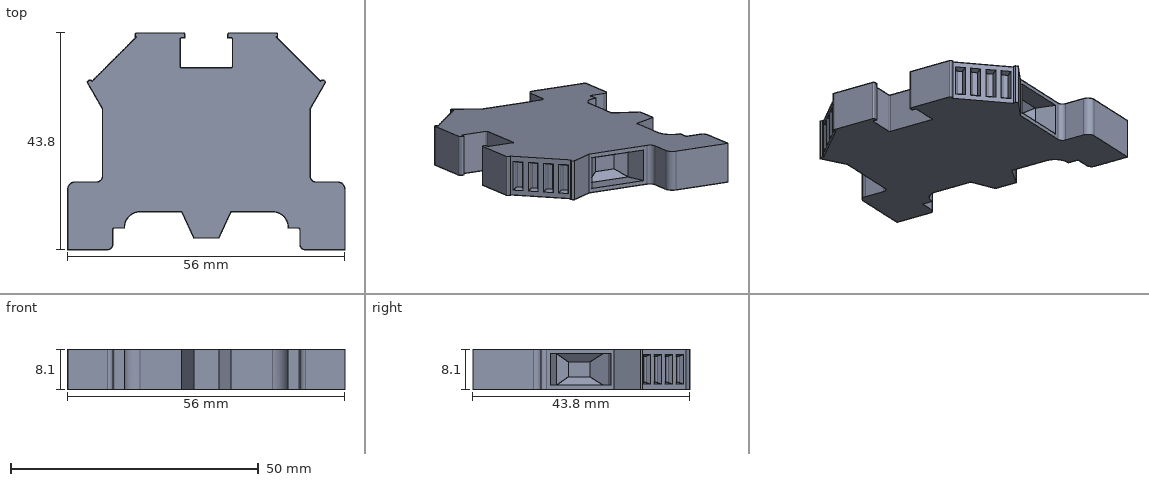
import cadquery as cq
import math

length = 56.0
height = 43.8
thickness = 8.1
half_length = length / 2

foot_inner_x = 18.9
foot_top_y = 13.7
foot_outer_radius = 1.5
foot_inner_radius = 1.1
ledge_y = 4.35

underside_y = 7.7
arch_x = 16.5
arch_radius = 3.15
key_bottom_y = 2.35
key_root_half = 5.0
key_tip_half = 2.5

body_half = 21.0
body_radius = 1.1
wing_base_y = 28.5
wing_angle = math.radians(30)
wing_tip_x = 24.1
wing_tip_y = wing_base_y + (wing_tip_x - body_half) / math.tan(wing_angle)
wing_lip_height = 0.45
wing_lip_outer_x = 23.75
wing_lip_inner_x = 23.25
roof_bottom_x = 23.1
roof_top_x = 14.1
roof_top_y = 43.0
roof_bottom_y = roof_top_y - (roof_bottom_x - roof_top_x)

flange_half = 14.4
flange_thickness = 1.0
notch_lip_half = 4.3
notch_half = 5.25
notch_floor_y = 36.8
flange_radius = 0.35

inside_corner_radius = 0.2

slot_count = 4
slot_pitch = 3.15
slot_length = 2.1
slot_width = 6.0
first_slot_start = 0.7
slot_depth = 1.1
slot_taper = 20.0
slot_floor_radius = 0.35

entry_top_y = 27.85
entry_bottom_y = 15.7
entry_width = 6.4
entry_bend_depth = 3.3
entry_bend_radius = 0.95
funnel_start_depth = 4.15
funnel_start_y = 16.85
funnel_depth = 5.6
funnel_floor_top_y = 23.65
funnel_floor_bottom_y = 19.25
funnel_floor_width = 3.0


def fillet_corners(solid, corners, radius):
    """Round the edges parallel to Z that pass through the given XY corners."""
    for x, y in corners:
        edge = cq.selectors.NearestToPointSelector((x, y, 0))
        solid = solid.edges("|Z").edges(edge).fillet(radius)
    return solid


def both_sides(x, y):
    """A corner and its mirror image across X = 0."""
    return [(x, y), (-x, y)]


def make_plate():
    """Solid plate with every rounded corner of its outline."""
    right_half = [
        (key_tip_half, key_bottom_y),
        (key_root_half, underside_y),
        (arch_x, underside_y),
        (arch_x, ledge_y),
        (foot_inner_x, ledge_y),
        (foot_inner_x, 0),
        (half_length, 0),
        (half_length, foot_top_y),
        (body_half, foot_top_y),
        (body_half, wing_base_y),
        (wing_tip_x, wing_tip_y),
        (wing_lip_outer_x, wing_tip_y + wing_lip_height),
        (wing_lip_inner_x, wing_tip_y + wing_lip_height),
        (roof_bottom_x, roof_bottom_y),
        (roof_top_x, roof_top_y),
        (flange_half, roof_top_y),
        (flange_half, height),
        (notch_lip_half, height),
        (notch_lip_half, height - flange_thickness),
        (notch_half, height - flange_thickness),
        (notch_half, notch_floor_y),
    ]
    left_half = [(-x, y) for x, y in reversed(right_half)]
    outline = cq.Workplane("XY").polyline(right_half + left_half).close()
    plate = outline.extrude(thickness / 2, both=True)

    plate = fillet_corners(plate, both_sides(half_length, foot_top_y), foot_outer_radius)
    plate = fillet_corners(plate, both_sides(foot_inner_x, 0), foot_inner_radius)
    plate = fillet_corners(plate, both_sides(body_half, foot_top_y), body_radius)
    plate = fillet_corners(plate, both_sides(arch_x, underside_y), arch_radius)
    plate = fillet_corners(plate, both_sides(flange_half, height), flange_radius)
    plate = fillet_corners(plate, both_sides(notch_lip_half, height), flange_radius)
    inside_corners = (
        both_sides(foot_inner_x, ledge_y)
        + both_sides(notch_half, height - flange_thickness)
        + both_sides(notch_half, notch_floor_y)
    )
    return fillet_corners(plate, inside_corners, inside_corner_radius)


def make_left_slots():
    """Tapered slots whose mouths lie on the left roof face."""
    roof = cq.Plane(
        origin=(-roof_top_x, roof_top_y, 0),
        xDir=(-1, -1, 0),
        normal=(1, -1, 0),
    )
    slots = cq.Workplane("XY")
    for index in range(slot_count):
        centre = first_slot_start + slot_length / 2 + index * slot_pitch
        slot = (
            cq.Workplane(roof)
            .center(centre, 0)
            .rect(slot_length, slot_width)
            .extrude(slot_depth, taper=slot_taper)
        )
        slot = slot.faces(">(1, -1, 0)").edges(">Y").fillet(slot_floor_radius)
        slots = slots.add(slot)
    return slots.combine()


def make_left_entry():
    """Pocket as the overlap of its shape along Y and its shape along Z."""
    side_profile = (
        cq.Workplane("XY")
        .polyline([
            (-body_half, entry_top_y),
            (-body_half + entry_bend_depth, entry_top_y),
            (-body_half + funnel_depth, funnel_floor_top_y),
            (-body_half + funnel_depth, funnel_floor_bottom_y),
            (-body_half + funnel_start_depth, funnel_start_y),
            (-body_half, entry_bottom_y),
        ])
        .close()
        .extrude(entry_width / 2, both=True)
    )
    bend = [(-body_half + entry_bend_depth, entry_top_y)]
    side_profile = fillet_corners(side_profile, bend, entry_bend_radius)

    width_profile = (
        cq.Workplane("XZ")
        .polyline([
            (-body_half, entry_width / 2),
            (-body_half + funnel_start_depth, entry_width / 2),
            (-body_half + funnel_depth, funnel_floor_width / 2),
            (-body_half + funnel_depth, -funnel_floor_width / 2),
            (-body_half + funnel_start_depth, -entry_width / 2),
            (-body_half, -entry_width / 2),
        ])
        .close()
        .extrude(-height)
    )
    return side_profile.intersect(width_profile)


result = make_plate()
for cutter in (make_left_slots(), make_left_entry()):
    result = result.cut(cutter).cut(cutter.mirror("YZ"))